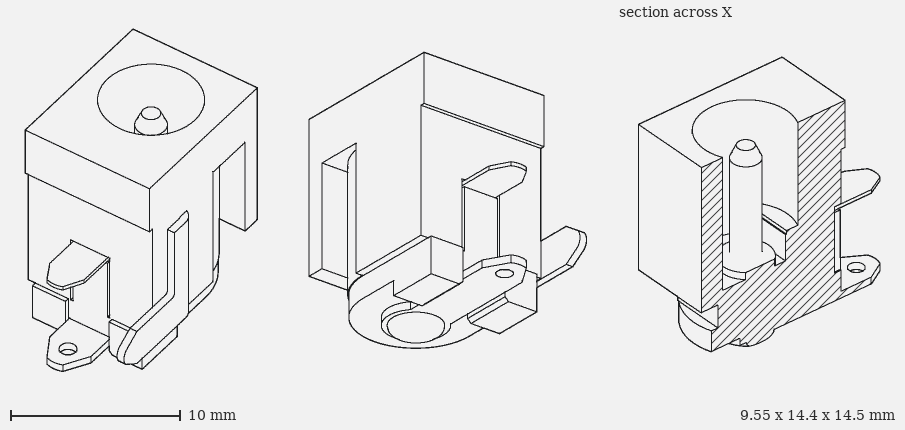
import cadquery as cq
import math


TOTAL_HEIGHT = 14.54
HOUSING_WIDTH = 9.0
FRONT_LIP_Y = -6.5
LIP_OVERHANG = 0.3
BODY_FRONT_Y = FRONT_LIP_Y + LIP_OVERHANG
BACK_Y = HOUSING_WIDTH / 2
HEAD_HEIGHT = 3.4
BODY_BACK_RADIUS = 4.03
BODY_BACK_Y = 3.25
BACK_PLATE_HEIGHT = 10.42
HEAD_BOTTOM_Z = TOTAL_HEIGHT - HEAD_HEIGHT
BODY_BOTTOM_Z = 2.51

BASE_RADIUS = 3.97
BASE_BOTTOM_Z = 1.0
FOOT_BACK_Y = -2.92
FOOT_GAP = 3.16
FOOT_CHAMFER = 0.25

BORE_RADIUS = 3.16
BORE_DEPTH = 9.5
COLLAR_RADIUS = 1.75
COLLAR_HEIGHT = 0.5
PIN_RADIUS = 0.97
PIN_ROOT_FILLET = 0.3
PIN_TIP_RADIUS = 0.57
PIN_TIP_DEPTH = 1.07
PIN_TIP_LENGTH = 0.9

LEDGE_EDGE_Y = -2.0
CONTACT_WIDTH = 4.78
CONTACT_FACE_Y = -1.93

TERMINAL_END_Y = -9.92
TIP_CORNER_Y = -9.8
TIP_HALF_WIDTH = 0.58

SPRING_WIDTH = 2.5
SPRING_THICKNESS = 0.26
SPRING_TOP_Z = TOTAL_HEIGHT - 7.36
SPRING_TAPER_Y = -8.57
SLOT_WIDTH = 2.82
SLOT_TOP_Z = TOTAL_HEIGHT - 7.3
SLOT_DEPTH = 0.5
SLOT_FILLER_TOP_Z = TOTAL_HEIGHT - 7.77

STRIP_WIDTH = 3.0
STRIP_THICKNESS = 0.52
STRIP_TAPER_Y = -8.22
EYELET_RADIUS = 2.05
SOLDER_HOLE_DIAMETER = 1.05
SOLDER_HOLE_Y = -8.46
RIVET_RADIUS = 1.7
RIVET_EDGE_RADIUS = 0.47

SIDE_THICKNESS = 0.5
SIDE_OUTER_X = 5.05
SIDE_INNER_X = SIDE_OUTER_X - SIDE_THICKNESS
SIDE_TOP_Z = TOTAL_HEIGHT - 4.48
SIDE_BEND_RADIUS = 1.0
SIDE_BEND_Y = -3.6
SIDE_UPRIGHT_FRONT_Y = -4.73
SIDE_CORNER_FILLET = 0.24
BLADE_TOP_Z = TOTAL_HEIGHT - 9.5
BLADE_TAPER_Y = -8.55
BLADE_TIP_Y = -9.65
BLADE_TIP_HALF_HEIGHT = 0.55
BLADE_END_Y = -9.87


def block(x_range, y_range, z_range):
    """Axis-aligned box given by its limits along each axis."""
    size = [high - low for low, high in (x_range, y_range, z_range)]
    corner = (x_range[0], y_range[0], z_range[0])
    return cq.Workplane("XY").box(*size, centered=False).translate(corner)


def centred_block(width, y_range, z_range):
    return block((-width / 2, width / 2), y_range, z_range)


def disc(radius, bottom_z, top_z):
    return cq.Workplane("XY").workplane(offset=bottom_z).circle(radius).extrude(top_z - bottom_z)


def make_housing():
    """Head over a narrower body with a flattened round back and a plate hanging behind it."""
    head = centred_block(HOUSING_WIDTH, (FRONT_LIP_Y, BACK_Y), (HEAD_BOTTOM_Z, TOTAL_HEIGHT))
    body = centred_block(HOUSING_WIDTH, (BODY_FRONT_Y, 0), (BODY_BOTTOM_Z, HEAD_BOTTOM_Z))
    back_limit = centred_block(HOUSING_WIDTH, (0, BODY_BACK_Y), (BODY_BOTTOM_Z, HEAD_BOTTOM_Z))
    rounded_back = disc(BODY_BACK_RADIUS, BODY_BOTTOM_Z, HEAD_BOTTOM_Z).intersect(back_limit)
    back_plate = centred_block(
        HOUSING_WIDTH, (BODY_BACK_Y, BACK_Y), (TOTAL_HEIGHT - BACK_PLATE_HEIGHT, HEAD_BOTTOM_Z)
    )
    return head.union(body).union(rounded_back).union(back_plate)


def make_base():
    """Round-backed base plate with two feet, relieved at the front between the feet."""
    base = centred_block(2 * BASE_RADIUS, (FRONT_LIP_Y, 0), (BASE_BOTTOM_Z, BODY_BOTTOM_Z))
    base = base.union(disc(BASE_RADIUS, BASE_BOTTOM_Z, BODY_BOTTOM_Z))
    relief = centred_block(FOOT_GAP, (FRONT_LIP_Y, BODY_FRONT_Y), (BASE_BOTTOM_Z, BODY_BOTTOM_Z))
    base = base.cut(relief)

    foot = block((FOOT_GAP / 2, BASE_RADIUS), (FRONT_LIP_Y, FOOT_BACK_Y), (0, BASE_BOTTOM_Z))
    foot = foot.edges("|Y and <X and <Z").chamfer(FOOT_CHAMFER)
    return base.union(foot).union(foot.mirror("YZ"))


def make_bore():
    """Plug cavity, leaving a ledge along its front wall with the spring contact on the edge."""
    floor_z = TOTAL_HEIGHT - BORE_DEPTH
    bore = disc(BORE_RADIUS, floor_z, TOTAL_HEIGHT)
    ledge = centred_block(2 * BORE_RADIUS, (-BORE_RADIUS, LEDGE_EDGE_Y), (floor_z, SPRING_TOP_Z))
    contact_top_z = SPRING_TOP_Z - SPRING_THICKNESS
    contact = centred_block(CONTACT_WIDTH, (LEDGE_EDGE_Y, CONTACT_FACE_Y), (floor_z, contact_top_z))
    return bore.cut(ledge).cut(contact)


def make_pin():
    """Centre pin with a conical tip, flared at its root onto a round collar."""
    floor_z = TOTAL_HEIGHT - BORE_DEPTH
    collar_z = floor_z + COLLAR_HEIGHT
    tip_z = TOTAL_HEIGHT - PIN_TIP_DEPTH
    flare_drop = PIN_ROOT_FILLET * math.sqrt(0.5)
    flare_middle = (
        PIN_RADIUS + PIN_ROOT_FILLET - flare_drop,
        collar_z + PIN_ROOT_FILLET - flare_drop,
    )
    return (
        cq.Workplane("XZ")
        .moveTo(0, floor_z)
        .lineTo(COLLAR_RADIUS, floor_z)
        .lineTo(COLLAR_RADIUS, collar_z)
        .lineTo(PIN_RADIUS + PIN_ROOT_FILLET, collar_z)
        .threePointArc(flare_middle, (PIN_RADIUS, collar_z + PIN_ROOT_FILLET))
        .lineTo(PIN_RADIUS, tip_z - PIN_TIP_LENGTH)
        .lineTo(PIN_TIP_RADIUS, tip_z)
        .lineTo(0, tip_z)
        .close()
        .revolve()
    )


def make_slot():
    """U-shaped groove in the front face around a flush filler."""
    y_range = (BODY_FRONT_Y, BODY_FRONT_Y + SLOT_DEPTH)
    slot = centred_block(SLOT_WIDTH, y_range, (BODY_BOTTOM_Z, SLOT_TOP_Z))
    filler = centred_block(SPRING_WIDTH, y_range, (BODY_BOTTOM_Z, SLOT_FILLER_TOP_Z))
    return slot.cut(filler)


def make_tongue(width, root_y, taper_y, bottom_z, thickness):
    """Flat strip pointing along -Y, with a tapered, rounded tip."""
    return (
        cq.Workplane("XY")
        .workplane(offset=bottom_z)
        .moveTo(width / 2, root_y)
        .lineTo(width / 2, taper_y)
        .lineTo(TIP_HALF_WIDTH, TIP_CORNER_Y)
        .threePointArc((0, TERMINAL_END_Y), (-TIP_HALF_WIDTH, TIP_CORNER_Y))
        .lineTo(-width / 2, taper_y)
        .lineTo(-width / 2, root_y)
        .close()
        .extrude(thickness)
    )


def make_spring_terminal():
    bottom_z = SPRING_TOP_Z - SPRING_THICKNESS
    root_y = BODY_FRONT_Y + 2 * SLOT_DEPTH
    return make_tongue(SPRING_WIDTH, root_y, SPRING_TAPER_Y, bottom_z, SPRING_THICKNESS)


def make_pin_terminal():
    """Strip with an eyelet around the pin axis, a solder hole and a rivet head."""
    bottom_z = BASE_BOTTOM_Z - STRIP_THICKNESS
    strip = make_tongue(STRIP_WIDTH, 0, STRIP_TAPER_Y, bottom_z, STRIP_THICKNESS)
    eyelet = disc(EYELET_RADIUS, bottom_z, BASE_BOTTOM_Z)
    hole = disc(SOLDER_HOLE_DIAMETER / 2, bottom_z, BASE_BOTTOM_Z).translate((0, SOLDER_HOLE_Y, 0))
    rivet = disc(RIVET_RADIUS, 0, bottom_z).faces("<Z").edges().fillet(RIVET_EDGE_RADIUS)
    return strip.union(eyelet).cut(hole).union(rivet)


def make_side_terminal():
    """Upright on the +X side, bent into the body at the back, with a blade at its foot."""
    blade_middle_z = (BLADE_TOP_Z + BODY_BOTTOM_Z) / 2
    profile = (
        cq.Workplane("YZ")
        .workplane(offset=SIDE_INNER_X)
        .moveTo(SIDE_BEND_Y, BODY_BOTTOM_Z)
        .lineTo(SIDE_BEND_Y, SIDE_TOP_Z)
        .lineTo(SIDE_UPRIGHT_FRONT_Y, SIDE_TOP_Z)
        .lineTo(SIDE_UPRIGHT_FRONT_Y, BLADE_TOP_Z + SIDE_CORNER_FILLET)
        .radiusArc((SIDE_UPRIGHT_FRONT_Y - SIDE_CORNER_FILLET, BLADE_TOP_Z), SIDE_CORNER_FILLET)
        .lineTo(BLADE_TAPER_Y, BLADE_TOP_Z)
        .lineTo(BLADE_TIP_Y, blade_middle_z + BLADE_TIP_HALF_HEIGHT)
        .threePointArc(
            (BLADE_END_Y, blade_middle_z),
            (BLADE_TIP_Y, blade_middle_z - BLADE_TIP_HALF_HEIGHT),
        )
        .lineTo(BLADE_TAPER_Y, BODY_BOTTOM_Z)
        .close()
        .extrude(SIDE_THICKNESS)
    )

    bend_x = SIDE_OUTER_X - SIDE_BEND_RADIUS
    bend = disc(SIDE_BEND_RADIUS, BODY_BOTTOM_Z, SIDE_TOP_Z)
    bend = bend.cut(disc(SIDE_BEND_RADIUS - SIDE_THICKNESS, BODY_BOTTOM_Z, SIDE_TOP_Z))
    quarter = block((0, SIDE_BEND_RADIUS), (0, SIDE_BEND_RADIUS), (BODY_BOTTOM_Z, SIDE_TOP_Z))
    bend = bend.intersect(quarter).translate((bend_x, SIDE_BEND_Y, 0))
    return profile.union(bend)


housing = make_housing().union(make_base()).cut(make_bore()).cut(make_slot())
result = (
    housing.union(make_pin())
    .union(make_spring_terminal())
    .union(make_pin_terminal())
    .union(make_side_terminal())
)